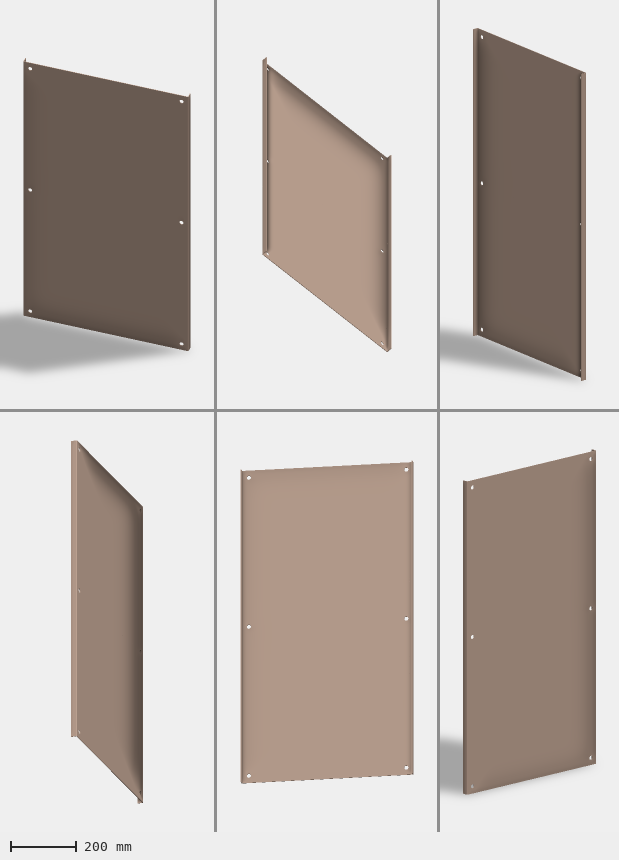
import cadquery as cq

width = 533.0
depth = 19.0
height = 991.0

thickness = 2.0
inner_bend_radius = 1.0
outer_bend_radius = inner_bend_radius + thickness

hole_diameter = 13.0
hole_spacing_x = 488.0
hole_spacing_z = 473.0


def rounded_channel_block(block_width, front_y, bend_radius):
    """Full-height block whose two front vertical edges are rounded."""
    block_depth = depth - front_y
    return (
        cq.Workplane("XY")
        .box(block_width, block_depth, height, centered=(True, False, True))
        .translate((0, front_y, 0))
        .edges("|Z and <Y")
        .fillet(bend_radius)
    )


def mounting_holes():
    """Cylinders passing through the front sheet along Y."""
    return (
        cq.Workplane("XZ")
        .rarray(hole_spacing_x, hole_spacing_z, 2, 3)
        .circle(hole_diameter / 2)
        .extrude(-depth)
    )


outside = rounded_channel_block(width, 0, outer_bend_radius)
inside = rounded_channel_block(width - 2 * thickness, thickness, inner_bend_radius)
result = outside.cut(inside).cut(mounting_holes())